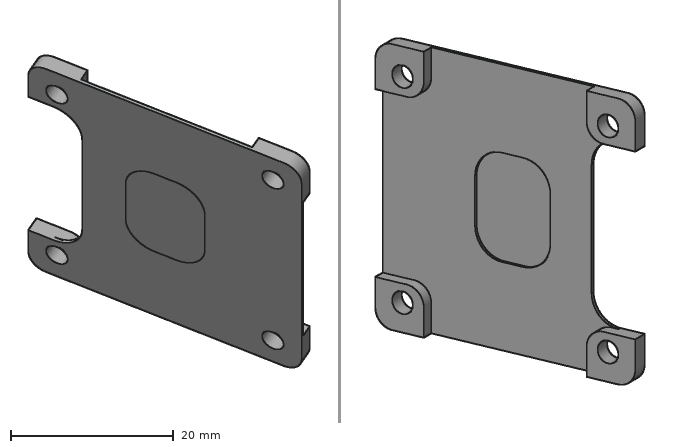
import cadquery as cq

side = 38.0
total_depth = 2.2
plate_thickness = 0.5
corner_radius = 2.5

pad_width = 7.1
pad_height = 6.55
pad_inner_radius = 2.5
hole_diameter = 3.0
hole_inset = 4.0

notch_depth = 7.5
notch_radius = 4.0
notch_height = side - 2 * pad_height

recess_width = 11.02
recess_height = 14.5
recess_radius = 4.0
recess_skin = 0.1

half_side = side / 2
corner_signs = [(sx, sz) for sx in (-1, 1) for sz in (-1, 1)]


def block(width, height, depth, x=0.0, z=0.0, front=0.0):
    """Box centred on (x, z) that runs back from Y = front."""
    return cq.Workplane("XY").box(width, depth, height).translate((x, front + depth / 2, z))


def corner_pad(sx, sz):
    """Full-depth pad whose inward corner is rounded."""
    x = sx * (half_side - pad_width / 2)
    z = sz * (half_side - pad_height / 2)
    pad = block(pad_width, pad_height, total_depth, x, z)
    inward_corner = (x - sx * pad_width / 2, total_depth / 2, z - sz * pad_height / 2)
    inward_edge = cq.selectors.NearestToPointSelector(inward_corner)
    return pad.edges("|Y").edges(inward_edge).fillet(pad_inner_radius)


def edge_notch():
    """Opening through the left edge with rounded inner corners."""
    notch = block(notch_depth, notch_height, plate_thickness, notch_depth / 2 - half_side)
    return notch.edges("|Y and >X").fillet(notch_radius)


def rear_recess():
    """Pocket from the plate's rear surface down to the front skin."""
    recess = block(recess_width, recess_height, plate_thickness - recess_skin, front=recess_skin)
    return recess.edges("|Y").fillet(recess_radius)


def mounting_hole(sx, sz):
    """Through-hole cylinder in one corner."""
    center = (sx * (half_side - hole_inset), sz * (half_side - hole_inset))
    return cq.Workplane("XZ").center(*center).circle(hole_diameter / 2).extrude(-total_depth)


plate = block(side, side, plate_thickness).cut(edge_notch()).cut(rear_recess())
for signs in corner_signs:
    plate = plate.union(corner_pad(*signs))

outline = block(side, side, total_depth).edges("|Y").fillet(corner_radius)
plate = plate.intersect(outline)

for signs in corner_signs:
    plate = plate.cut(mounting_hole(*signs))

result = plate